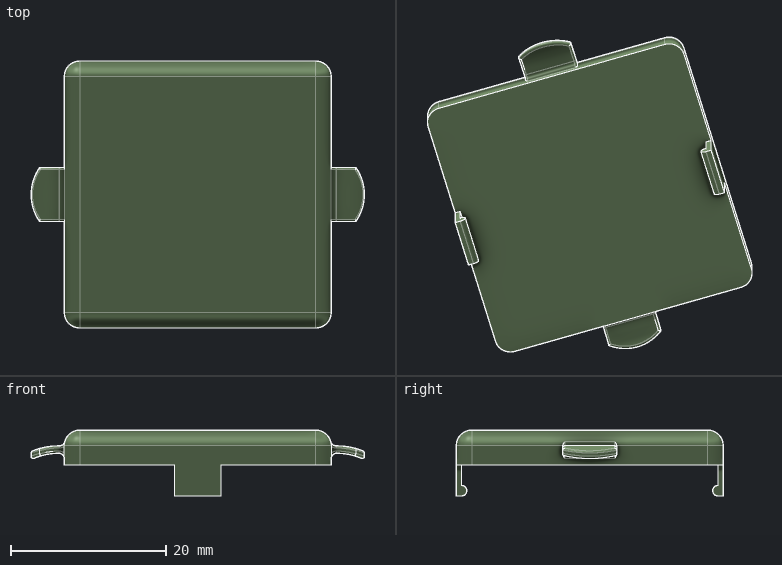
import cadquery as cq
import math

cover_side = 34.4
cover_height = 4.5
corner_radius = 2.0

leg_width = 6.0
leg_length = 4.0
leg_thickness = 0.7
bead_radius = 0.7

overall_length = 42.95
tab_width = 7.0
tab_thickness = 1.0
tab_top_radius = 9.02
tab_tip_sagitta = 1.1
tab_edge_fillet = 0.3
tab_root_fillet = 0.7

half_side = cover_side / 2
half_length = overall_length / 2
half_tab = tab_width / 2
shoulder_z = cover_height - corner_radius


def make_cover():
    block = cq.Workplane("XY").box(cover_side, cover_side, cover_height, centered=(True, True, False))
    return block.edges("|Z").fillet(corner_radius).faces(">Z").edges().fillet(corner_radius)


def make_leg():
    """Leg on the +Y edge, with a half-round snap bead facing inward at its foot."""
    inner_y = half_side - leg_thickness
    bead_top = -leg_length + 2 * bead_radius
    return (
        cq.Workplane("YZ", origin=(-leg_width / 2, 0, 0))
        .moveTo(half_side, shoulder_z)
        .lineTo(half_side, -leg_length)
        .lineTo(inner_y, -leg_length)
        .threePointArc((inner_y - bead_radius, -leg_length + bead_radius), (inner_y, bead_top))
        .lineTo(inner_y, shoulder_z)
        .close()
        .extrude(leg_width)
    )


def make_tab():
    """Tab on the +X side: a drooping curved strip with flared root and rounded tip."""
    embed_x = half_side - corner_radius
    bottom_z = shoulder_z - tab_thickness
    arc_center_z = shoulder_z - tab_top_radius
    bottom_radius = tab_top_radius - tab_thickness

    center_distance = corner_radius + tab_root_fillet
    contact_angle = math.asin(tab_root_fillet / center_distance)
    upper_flare_x = embed_x + center_distance * math.cos(contact_angle)
    lower_flare_x = half_side + tab_root_fillet

    def flare_point(center_x, center_z, angle):
        return (
            center_x + tab_root_fillet * math.cos(angle),
            center_z + tab_root_fillet * math.sin(angle),
        )

    upper_center = (upper_flare_x, shoulder_z + tab_root_fillet)
    upper_start = flare_point(*upper_center, math.pi + contact_angle)
    upper_middle = flare_point(*upper_center, 1.25 * math.pi + contact_angle / 2)
    lower_center = (lower_flare_x, bottom_z - tab_root_fillet)
    lower_middle = flare_point(*lower_center, 0.75 * math.pi)

    def droop_point(radius, x):
        return (x, arc_center_z + math.sqrt(radius**2 - (x - lower_flare_x) ** 2))

    middle_x = (lower_flare_x + half_length) / 2
    strip = (
        cq.Workplane("XZ", origin=(0, half_tab, 0))
        .moveTo(embed_x, shoulder_z)
        .lineTo(*upper_start)
        .threePointArc(upper_middle, (upper_flare_x, shoulder_z))
        .lineTo(lower_flare_x, shoulder_z)
        .threePointArc(droop_point(tab_top_radius, middle_x), droop_point(tab_top_radius, half_length))
        .lineTo(*droop_point(bottom_radius, half_length))
        .threePointArc(droop_point(bottom_radius, middle_x), (lower_flare_x, bottom_z))
        .threePointArc(lower_middle, (half_side, bottom_z - tab_root_fillet))
        .lineTo(embed_x, bottom_z - tab_root_fillet)
        .close()
        .extrude(tab_width)
    )
    side_end_x = half_length - tab_tip_sagitta
    outline = (
        cq.Workplane("XY", origin=(0, 0, -cover_height))
        .moveTo(embed_x, -half_tab)
        .lineTo(side_end_x, -half_tab)
        .threePointArc((half_length, 0), (side_end_x, half_tab))
        .lineTo(embed_x, half_tab)
        .close()
        .extrude(3 * cover_height)
    )
    tab = strip.intersect(outline)
    outside = cq.selectors.BoxSelector(
        (half_side, -tab_width, -cover_height), (overall_length, tab_width, cover_height)
    )
    return tab.edges(outside).edges("not(|Z or |Y)").fillet(tab_edge_fillet)


leg = make_leg()
tab = make_tab()
result = make_cover()
for angle in (0, 180):
    result = result.union(leg.rotate((0, 0, 0), (0, 0, 1), angle))
    result = result.union(tab.rotate((0, 0, 0), (0, 0, 1), angle))